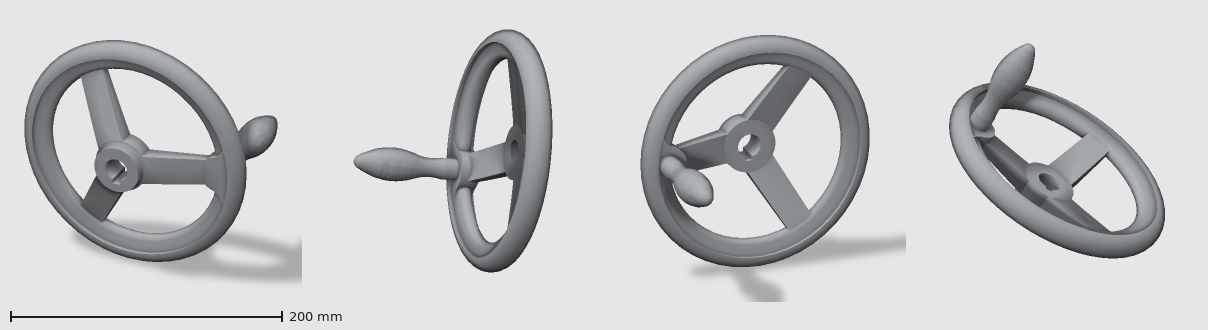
import cadquery as cq
import math


rim_outer_radius = 90.0
rim_seat_diameter = 160.0
rim_seat_radius = rim_seat_diameter / 2
rim_tube_radius = rim_outer_radius - rim_seat_radius
rim_center_y = 32.5
rim_step_depth = 3.2
rim_inner_radius = 68.0
rim_inner_round = 5.0

hub_radius = 20.5
hub_nose_radius = 18.0
hub_nose_length = 5.2
hub_shoulder_y = 7.7
hub_back_y = 21.0
bore_radius = 9.0
key_width = 6.1
key_bottom = 11.7

spoke_count = 3
spoke_root_front_y = 8.1
spoke_front_slope = 0.43
spoke_back_slope = 0.31
spoke_inner_radius = 12.6
spoke_outer_radius = 72.0
spoke_axis_width = 23.4
spoke_outer_width = 20.3

handle_x = 70.7
boss_radius = 14.4
boss_flare_radius = 12.0
boss_front_y = 25.4
boss_back_y = 39.6
collar_diameter = 16.0
collar_radius = collar_diameter / 2
collar_end_y = 50.4
neck_radius = 7.0
neck_y = 60.3
grip_start_diameter = 17.8
grip_start_radius = grip_start_diameter / 2
grip_start_y = 71.0
belly_radius = 12.5
belly_y = 88.2
tip_radius = 4.3
tip_start_y = 117.7
tip_y = 119.9


def revolve_about_y(profile, center_x=0):
    """Turn a closed XY profile about the line parallel to Y at center_x."""
    return profile.close().revolve(360, (center_x, 0, 0), (center_x, 1, 0))


def extrude_along_y(sketch_plane_y, length, draw):
    """Extrude a front outline, drawn in X and Z, from sketch_plane_y towards +Y."""
    plane = cq.Plane(origin=(0, sketch_plane_y, 0), xDir=(1, 0, 0), normal=(0, -1, 0))
    return draw(cq.Workplane(plane)).extrude(-length)


def make_rim():
    half_height = rim_tube_radius - rim_step_depth
    round_center = rim_inner_radius + rim_inner_round
    run = rim_seat_radius - round_center
    angle = math.atan2(half_height, run) + math.acos(rim_inner_round / math.hypot(run, half_height))
    flank_x = round_center + rim_inner_round * math.cos(angle)
    flank_rise = rim_inner_round * math.sin(angle)
    profile = (
        cq.Workplane("XY")
        .moveTo(rim_seat_radius, rim_center_y - rim_tube_radius)
        .threePointArc((rim_outer_radius, rim_center_y), (rim_seat_radius, rim_center_y + rim_tube_radius))
        .lineTo(rim_seat_radius, rim_center_y + half_height)
        .lineTo(flank_x, rim_center_y + flank_rise)
        .threePointArc((rim_inner_radius, rim_center_y), (flank_x, rim_center_y - flank_rise))
        .lineTo(rim_seat_radius, rim_center_y - half_height)
    )
    return revolve_about_y(profile)


def make_hub():
    profile = (
        cq.Workplane("XY")
        .lineTo(hub_nose_radius, 0)
        .lineTo(hub_nose_radius, hub_nose_length)
        .tangentArcPoint((hub_radius, hub_shoulder_y), relative=False)
        .lineTo(hub_radius, hub_back_y)
        .lineTo(0, hub_back_y)
    )
    return revolve_about_y(profile)


def make_spokes():
    """Spokes are cut from a dished disk with conical front and back."""
    def front_y(radius):
        return spoke_root_front_y + spoke_front_slope * (radius - hub_radius)

    def back_y(radius):
        return hub_back_y + spoke_back_slope * (radius - hub_radius)

    dish = revolve_about_y(
        cq.Workplane("XY")
        .moveTo(spoke_inner_radius, front_y(spoke_inner_radius))
        .lineTo(spoke_outer_radius, front_y(spoke_outer_radius))
        .lineTo(spoke_outer_radius, back_y(spoke_outer_radius))
        .lineTo(spoke_inner_radius, back_y(spoke_inner_radius))
    )
    outline = [
        (0, -spoke_axis_width / 2),
        (spoke_outer_radius, -spoke_outer_width / 2),
        (spoke_outer_radius, spoke_outer_width / 2),
        (0, spoke_axis_width / 2),
    ]
    blade = extrude_along_y(0, back_y(spoke_outer_radius), lambda plane: plane.polyline(outline).close())
    spoke = dish.intersect(blade)
    spokes = spoke
    for index in range(1, spoke_count):
        spokes = spokes.union(spoke.rotate((0, 0, 0), (0, 1, 0), index * 360 / spoke_count))
    return spokes


def make_boss():
    """Round boss whose sides flare into the rim with arcs tangent to both."""
    to_axis = rim_seat_radius - boss_flare_radius
    to_boss = boss_radius + boss_flare_radius
    flare_x = (to_axis**2 - to_boss**2 + handle_x**2) / (2 * handle_x)
    flare_z = math.sqrt(to_axis**2 - flare_x**2)
    boss_share = boss_radius / to_boss
    boss_touch = (handle_x + (flare_x - handle_x) * boss_share, flare_z * boss_share)
    rim_touch = (flare_x * rim_seat_radius / to_axis, flare_z * rim_seat_radius / to_axis)
    toward_x = (boss_touch[0] + rim_touch[0]) / 2 - flare_x
    toward_z = (boss_touch[1] + rim_touch[1]) / 2 - flare_z
    reach = boss_flare_radius / math.hypot(toward_x, toward_z)
    flare_middle = (flare_x + toward_x * reach, flare_z + toward_z * reach)

    def mirrored(point):
        return (point[0], -point[1])

    def outline(plane):
        return (
            plane.moveTo(*rim_touch)
            .threePointArc(flare_middle, boss_touch)
            .threePointArc((handle_x - boss_radius, 0), mirrored(boss_touch))
            .threePointArc(mirrored(flare_middle), mirrored(rim_touch))
            .threePointArc((rim_seat_radius, 0), rim_touch)
            .close()
        )

    return extrude_along_y(boss_front_y, boss_back_y - boss_front_y, outline)


def make_handle():
    profile = (
        cq.Workplane("XY")
        .moveTo(handle_x, rim_center_y)
        .lineTo(handle_x + collar_radius, rim_center_y)
        .lineTo(handle_x + collar_radius, collar_end_y)
        .threePointArc((handle_x + neck_radius, neck_y), (handle_x + grip_start_radius, grip_start_y))
        .spline(
            [(handle_x + belly_radius, belly_y), (handle_x + tip_radius, tip_start_y)],
            includeCurrent=True,
        )
        .spline([(handle_x, tip_y)], tangents=[(-1, 1), (-1, 0)], includeCurrent=True)
    )
    return revolve_about_y(profile, handle_x)


def make_bore():
    bore = extrude_along_y(0, hub_back_y, lambda plane: plane.circle(bore_radius))
    keyway = cq.Workplane("XY").box(key_width, hub_back_y, key_bottom, centered=(True, False, False))
    return bore.union(keyway.translate((0, 0, -key_bottom)))


result = make_rim().union(make_hub()).union(make_spokes()).union(make_boss())
result = result.union(make_handle()).cut(make_bore())